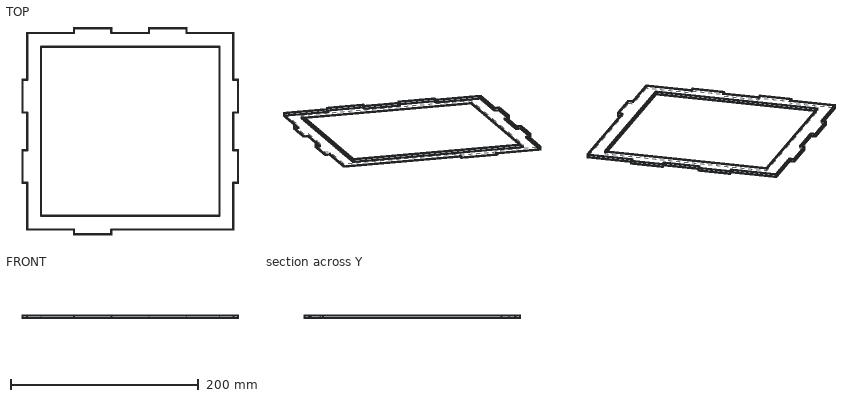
import cadquery as cq

frame_length = 220.0
frame_width = 210.0
thickness = 3.0
border = 15.0

tab_depth = 5.0
corner_to_tab = 50.0
long_edge_tab = 40.0
short_edge_tab = 35.0

tab_x = frame_length / 2 - corner_to_tab - long_edge_tab / 2
tab_y = frame_width / 2 - corner_to_tab - short_edge_tab / 2


def centred_plate(length, width, x=0.0, y=0.0):
    """Plate of the frame's thickness, resting on Z = 0 and centred on (x, y)."""
    return cq.Workplane("XY").center(x, y).rect(length, width).extrude(thickness)


def add_tab(plate, x, y, length, width):
    """Join a tab that protrudes from the frame edge through (x, y).

    The tab reaches equally far into the rim, so the two solids overlap.
    """
    return plate.union(centred_plate(length, width, x, y))


result = centred_plate(frame_length, frame_width)

for x, edge_y in [
    (-tab_x, frame_width / 2),
    (tab_x, frame_width / 2),
    (-tab_x, -frame_width / 2),
]:
    result = add_tab(result, x, edge_y, long_edge_tab, 2 * tab_depth)

for edge_x in (-frame_length / 2, frame_length / 2):
    for y in (-tab_y, tab_y):
        result = add_tab(result, edge_x, y, 2 * tab_depth, short_edge_tab)

result = result.cut(centred_plate(frame_length - 2 * border, frame_width - 2 * border))